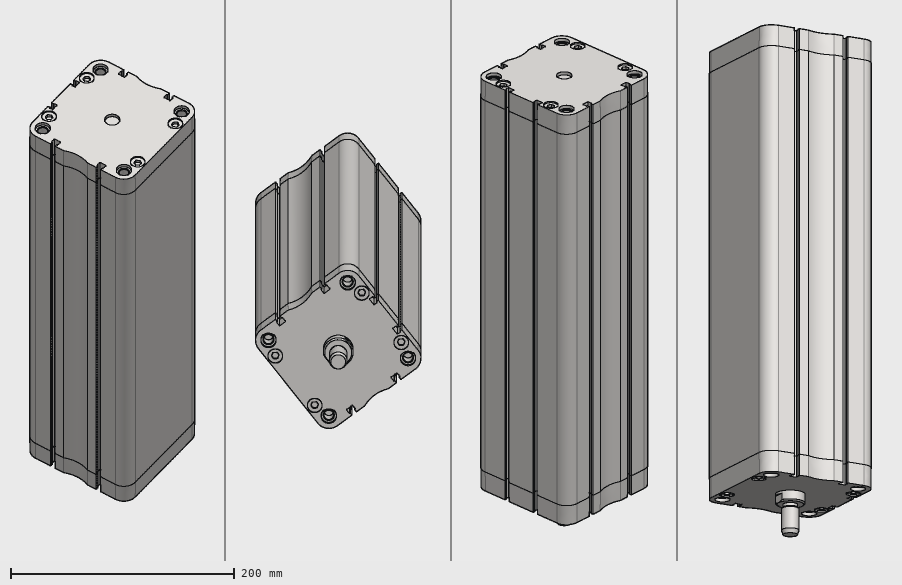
import cadquery as cq
import math

side = 113.5
total_length = 455.0
body_length = 417.2
cap_length = 19.5
cap_draft_angle = 0.5
corner_radius = 12.7
barrel_length = body_length - 2 * cap_length

channel_half_width = 13.0
channel_depth = 2.7

slot_opening = 5.0
slot_inner_width = 7.0
front_slot_offset = 25.0
front_slot_depth = 7.5
front_slot_lip = 2.7
side_slot_offset = 17.5
side_slot_depth = 6.0
side_slot_lip = 2.5

mount_offset = 44.5
mount_counterbore_diameter = 13.5
mount_counterbore_depth = 3.0
mount_thread_diameter = 8.5
mount_thread_chamfer = 0.7
mount_hole_depth = 16.0

seat_offset_x = 48.5
seat_offset_y = 29.0
seat_diameter = 13.0
seat_depth = 1.5
socket_across_flats = 6.0
socket_depth = 4.0

centring_diameter = 13.5
centring_depth = 3.0

rod_diameter = 27.0
rod_reach = 9.5
rod_chamfer = 1.5
flat_across = 24.0
flat_start = 2.5

stud_diameter = 16.0
stud_core_diameter = 13.0
neck_length = 2.7
stud_top_chamfer = 1.5
stud_tip_chamfer = 4.0
stud_engagement = 9.0


def channel_cutter(length):
    """Circular segment that hollows the middle of the +Y face."""
    edge = side / 2
    return (
        cq.Workplane("XY")
        .moveTo(-channel_half_width, edge)
        .threePointArc((0, edge - channel_depth), (channel_half_width, edge))
        .close()
        .extrude(length)
    )


def slot_cutter(length, offset, depth, lip):
    """T-slot in the +Y face, centred at X = offset."""
    edge = side / 2
    opening = (
        cq.Workplane("XY").center(offset, edge).rect(slot_opening, 2 * depth).extrude(length)
    )
    inner_depth = depth - lip
    inner = (
        cq.Workplane("XY")
        .center(offset, edge - lip - inner_depth / 2)
        .rect(slot_inner_width, inner_depth)
        .extrude(length)
    )
    return opening.union(inner)


def plain_profile(length):
    """Rounded square with a channel along the -Y and +Y faces."""
    block = cq.Workplane("XY").rect(side, side).extrude(length).edges("|Z").fillet(corner_radius)
    for turn in (0, 180):
        block = block.cut(channel_cutter(length).rotate((0, 0, 0), (0, 0, 1), turn))
    return block


def cut_slots(block, length):
    """Cuts the slots into the -Y, +Y and -X faces."""
    for turn in (0, 180):
        for x in (-front_slot_offset, front_slot_offset):
            slot = slot_cutter(length, x, front_slot_depth, front_slot_lip)
            block = block.cut(slot.rotate((0, 0, 0), (0, 0, 1), turn))
    for y in (-side_slot_offset, side_slot_offset):
        slot = slot_cutter(length, y, side_slot_depth, side_slot_lip)
        block = block.cut(slot.rotate((0, 0, 0), (0, 0, 1), 90))
    return block


def hole_cutter(diameter, depth):
    """Round hole going down from the outer face of a cap."""
    bottom = cap_length - depth
    return cq.Workplane("XY").workplane(offset=bottom).circle(diameter / 2).extrude(depth)


def mount_cutter():
    """Counterbore over a chamfered thread hole."""
    seat = cap_length - mount_counterbore_depth
    thread_radius = mount_thread_diameter / 2
    chamfer = (
        cq.Workplane("XY")
        .workplane(offset=seat)
        .circle(thread_radius + mount_thread_chamfer)
        .workplane(offset=-mount_thread_chamfer)
        .circle(thread_radius)
        .loft()
    )
    return (
        hole_cutter(mount_counterbore_diameter, mount_counterbore_depth)
        .union(hole_cutter(mount_thread_diameter, mount_hole_depth))
        .union(chamfer)
    )


def screw_seat_cutter():
    """Round seat with a hexagon socket whose corners point along Y."""
    socket = (
        cq.Workplane("XY")
        .workplane(offset=cap_length - socket_depth)
        .transformed(rotate=(0, 0, 90))
        .polygon(6, socket_across_flats / math.cos(math.pi / 6))
        .extrude(socket_depth)
    )
    return hole_cutter(seat_diameter, seat_depth).union(socket)


def cap():
    """End cap, inner face at Z = 0 and outer face up, with draft on its outer walls."""
    outline = plain_profile(cap_length).faces("<Z").wires().vals()
    block = cq.Workplane("XY").add(outline).toPending().extrude(cap_length, taper=cap_draft_angle)
    block = cut_slots(block, cap_length)
    for sx in (-1, 1):
        for sy in (-1, 1):
            block = block.cut(mount_cutter().translate((sx * mount_offset, sy * mount_offset, 0)))
            seat_place = (sx * seat_offset_x, sy * seat_offset_y, 0)
            block = block.cut(screw_seat_cutter().translate(seat_place))
    return block


def make_rear_cap():
    block = cap().cut(hole_cutter(centring_diameter, centring_depth))
    return block.translate((0, 0, body_length - cap_length))


def make_front_cap():
    block = cap().rotate((0, 0, 0), (1, 0, 0), 180).translate((0, 0, cap_length))
    return block.cut(hole_cutter(rod_diameter, cap_length))


def make_barrel():
    block = cut_slots(plain_profile(barrel_length), barrel_length)
    return block.translate((0, 0, cap_length))


def stud_socket():
    return (
        cq.Workplane("XY")
        .workplane(offset=-rod_reach)
        .circle(stud_core_diameter / 2)
        .extrude(stud_engagement)
    )


def make_rod():
    rod = (
        cq.Workplane("XY")
        .workplane(offset=-rod_reach)
        .circle(rod_diameter / 2)
        .extrude(rod_reach + cap_length)
        .faces("<Z")
        .chamfer(rod_chamfer)
    )
    flat_length = rod_reach - flat_start
    for s in (-1, 1):
        flat = (
            cq.Workplane("XY")
            .workplane(offset=-rod_reach)
            .center(s * (flat_across / 2 + rod_diameter / 2), 0)
            .rect(rod_diameter, 2 * rod_diameter)
            .extrude(flat_length)
        )
        rod = rod.cut(flat)
    return rod.cut(stud_socket())


def make_stud():
    tip = body_length - total_length
    core = stud_core_diameter / 2
    outer = stud_diameter / 2
    shoulder = -rod_reach - neck_length
    return (
        cq.Workplane("XZ")
        .moveTo(0, stud_engagement - rod_reach)
        .lineTo(core, stud_engagement - rod_reach)
        .lineTo(core, shoulder)
        .lineTo(outer, shoulder - stud_top_chamfer)
        .lineTo(outer, tip + stud_tip_chamfer)
        .lineTo(core, tip)
        .lineTo(0, tip)
        .close()
        .revolve(360, (0, 0, 0), (0, 1, 0))
    )


rear_cap = make_rear_cap()
barrel = make_barrel()
front_cap = make_front_cap()
rod = make_rod()
stud = make_stud()

result = cq.Compound.makeCompound(
    [rear_cap.val(), barrel.val(), front_cap.val(), rod.val(), stud.val()]
)